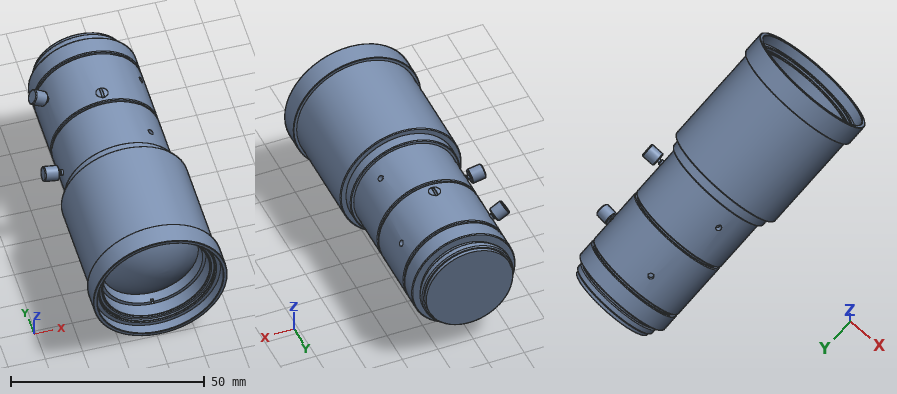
import cadquery as cq
import math

LENGTH = 79.4

hood_radius = 36.0 / 2
barrel_radius = 17.1
collar_radius = 15.5
tube_radius = 29.15 / 2
groove_radius = 13.7
neck_radius = 24.4 / 2
thread_radius = 12.9

hood_end = 5.95
barrel_end = 34.5
collar_end = 37.5
front_groove_y = 53.2
rear_groove_y = 70.2
tube_end = 75.5
thread_start = 76.5
thread_end = 78.45

groove_width = 0.55
edge_chamfer = 0.2
hood_front_chamfer = 0.15
hood_rear_chamfer = 0.15
thread_chamfer = 0.3

mouth_radius = 16.9
step_radius = 15.4
cavity_radius = 14.3
retainer_radius = 13.4
lens_radius = 13.0
lens_curvature = 18.65

lead_in = 0.2
lead_in_ledge = 0.2

mouth_chamfer = 0.15
mouth_depth = 2.8
step_depth = 3.6
cavity_depth = 7.5
lens_rim_depth = 10.2

notch_width = 0.6
notch_depth = 0.8

rear_row_y = 64.1
rear_row_angle = 150.0
front_row_y = 42.95
front_row_angle = 170.0
screws_per_row = 3
knob_diameter = 4.0
knob_chamfer = 0.2
stem_diameter = 1.6
stem_neck_diameter = 1.0
stem_chamfer = 0.2
stem_root_radius = tube_radius - 0.8
stem_shoulder_radius = 15.3
rear_knob_base = 15.5
rear_knob_top = 19.2
front_knob_base = 15.9
front_knob_top = 19.85
hole_diameter = 1.6
hole_depth = 1.6
hole_overshoot = 0.8

screw_y = 56.45
screw_diameter = 3.2
screw_rise = 0.28
screw_slot_width = 0.6
screw_slot_depth = 0.5


def disc(radius, start, end, front_chamfer=0.0, rear_chamfer=0.0):
    """Coaxial cylinder from start to end along Y, with optional end chamfers."""
    body = cq.Workplane("XZ", origin=(0, start, 0)).circle(radius).extrude(start - end)
    if front_chamfer:
        body = body.faces("<Y").chamfer(front_chamfer)
    if rear_chamfer:
        body = body.faces(">Y").chamfer(rear_chamfer)
    return body


def radial_pin(diameter, inner, outer, y, angle):
    """Cylinder standing on a ray from the axis; angle is measured from +X towards +Z."""
    direction = cq.Vector(math.cos(math.radians(angle)), 0, math.sin(math.radians(angle)))
    plane = cq.Plane(
        origin=(direction * inner + cq.Vector(0, y, 0)).toTuple(),
        xDir=(0, 1, 0),
        normal=direction.toTuple(),
    )
    return cq.Workplane(plane).circle(diameter / 2).extrude(outer - inner)


def make_body():
    half_groove = groove_width / 2
    front_tube_end = front_groove_y - half_groove
    middle_tube_start = front_groove_y + half_groove
    middle_tube_end = rear_groove_y - half_groove
    rear_tube_start = rear_groove_y + half_groove

    body = disc(hood_radius, 0, hood_end, hood_front_chamfer, hood_rear_chamfer)
    body = body.union(disc(barrel_radius, hood_end, barrel_end, 0, edge_chamfer))
    body = body.union(disc(collar_radius, barrel_end, collar_end, 0, edge_chamfer))
    body = body.union(disc(tube_radius, collar_end, front_tube_end, 0, edge_chamfer))
    body = body.union(disc(groove_radius, front_tube_end, rear_tube_start))
    body = body.union(disc(tube_radius, middle_tube_start, middle_tube_end, edge_chamfer, edge_chamfer))
    body = body.union(disc(tube_radius, rear_tube_start, tube_end, edge_chamfer, edge_chamfer))
    body = body.union(disc(neck_radius, tube_end, LENGTH))
    return body.union(disc(thread_radius, thread_start, thread_end, thread_chamfer, thread_chamfer))


def front_cavity():
    """Stepped mouth ending on the convex lens, revolved about the Y axis."""
    lens_sag = lens_curvature - math.sqrt(lens_curvature**2 - lens_radius**2)
    lens_apex = lens_rim_depth - lens_sag
    half_angle = math.asin(lens_radius / lens_curvature) / 2
    arc_middle = (
        lens_curvature * math.sin(half_angle),
        lens_apex + lens_curvature * (1 - math.cos(half_angle)),
    )
    profile = (
        cq.Workplane("XY")
        .moveTo(0, 0)
        .lineTo(mouth_radius + mouth_chamfer, 0)
        .lineTo(mouth_radius, mouth_chamfer)
        .lineTo(mouth_radius, mouth_depth)
        .lineTo(step_radius + lead_in_ledge + lead_in, mouth_depth)
        .lineTo(step_radius + lead_in_ledge, mouth_depth + lead_in)
        .lineTo(step_radius, mouth_depth + lead_in)
        .lineTo(step_radius, step_depth)
        .lineTo(cavity_radius + lead_in_ledge + lead_in, step_depth)
        .lineTo(cavity_radius + lead_in_ledge, step_depth + lead_in)
        .lineTo(cavity_radius, step_depth + lead_in)
        .lineTo(cavity_radius, cavity_depth)
        .lineTo(retainer_radius, cavity_depth)
        .lineTo(lens_radius, lens_rim_depth)
        .threePointArc(arc_middle, (0, lens_apex))
        .close()
    )
    return profile.revolve(360, (0, 0, 0), (0, 1, 0))


def spanner_notches():
    """Two notches across the retaining ring, above and below the lens."""
    radial_length = cavity_radius - lens_radius
    return (
        cq.Workplane("XZ", origin=(0, cavity_depth, 0))
        .pushPoints([(0, side * (cavity_radius + lens_radius) / 2) for side in (1, -1)])
        .rect(notch_width, radial_length)
        .extrude(-notch_depth)
    )


def knob(base, top, y, angle):
    """Chamfered grip on a thin neck that leads to a thicker stem in the tube wall."""
    grip = radial_pin(knob_diameter, base, top, y, angle).edges().chamfer(knob_chamfer)
    stem = radial_pin(stem_diameter, stem_root_radius, stem_shoulder_radius, y, angle)
    stem = stem.edges().chamfer(stem_chamfer)
    neck = radial_pin(stem_neck_diameter, stem_root_radius, top - knob_chamfer, y, angle)
    return grip.union(neck).union(stem)


def set_screw_holes(y, knob_angle):
    """Blind holes at the places in a row that carry no knob."""
    holes = cq.Workplane("XY")
    for index in range(1, screws_per_row):
        angle = knob_angle + index * 360 / screws_per_row
        hole = radial_pin(hole_diameter, tube_radius - hole_depth, tube_radius + hole_overshoot, y, angle)
        holes = holes.add(hole)
    return holes.combine()


def slotted_screw():
    """Domed head with a slot along Y, its edge level with the top of the tube."""
    head_radius = screw_diameter / 2
    top = tube_radius + screw_rise
    seat = tube_radius - screw_slot_depth
    dome_radius = (head_radius**2 + screw_rise**2) / (2 * screw_rise)
    profile = (
        cq.Workplane("XZ", origin=(0, screw_y, 0))
        .moveTo(0, seat)
        .lineTo(head_radius, seat)
        .lineTo(head_radius, tube_radius)
        .radiusArc((0, top), -dome_radius)
        .close()
    )
    head = profile.revolve(360, (0, 0, 0), (0, 1, 0))
    slot = cq.Workplane("XY", origin=(0, screw_y, top)).rect(screw_slot_width, screw_diameter)
    return head, slot.extrude(-screw_slot_depth)


screw_head, screw_slot = slotted_screw()

result = make_body().cut(front_cavity()).cut(spanner_notches())
result = result.cut(set_screw_holes(rear_row_y, rear_row_angle))
result = result.cut(set_screw_holes(front_row_y, front_row_angle))
result = result.union(knob(rear_knob_base, rear_knob_top, rear_row_y, rear_row_angle))
result = result.union(knob(front_knob_base, front_knob_top, front_row_y, front_row_angle))
result = result.union(screw_head).cut(screw_slot)